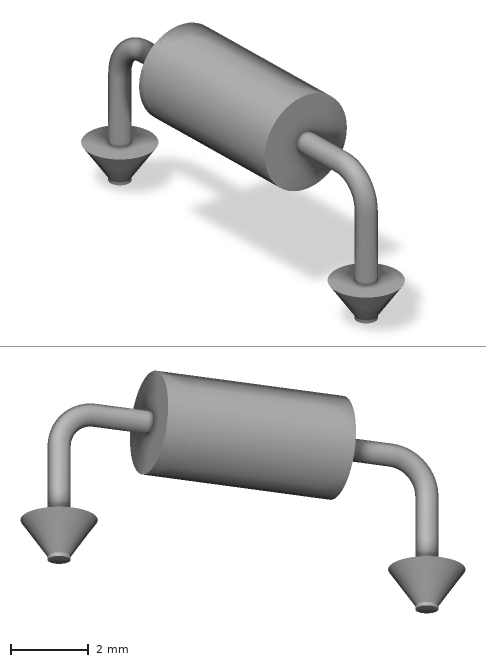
import cadquery as cq

overall_length = 12.16
flare_diameter = 2.0
body_length = 5.19
body_diameter = 2.7
overall_height = 5.45
wire_diameter = 0.6
bend_radius = 1.0
tip_length = 0.1
flare_height = 1.0
band_offset = 0.52
band_width = 0.29
band_depth = 0.12

body_radius = body_diameter / 2
wire_radius = wire_diameter / 2
axis_height = overall_height - body_radius
leg_x = (overall_length - flare_diameter) / 2
body_start = -body_length / 2
band_start = body_start + band_offset


def cylinder_along_x(start, length, radius):
    """Cylinder on the body's axis, running in +X from start."""
    plane = cq.Workplane("YZ", origin=(start, 0, axis_height))
    return plane.circle(radius).extrude(length)


def make_band():
    """Marking ring, flush with the outside of the body."""
    outer = cylinder_along_x(band_start, band_width, body_radius)
    inner = cylinder_along_x(band_start, band_width, body_radius - band_depth)
    return outer.cut(inner)


def make_body(band):
    """Cylindrical body with a groove for the band and a bore for the wire."""
    body = cylinder_along_x(body_start, body_length, body_radius)
    bore = cylinder_along_x(body_start, body_length, wire_radius)
    return body.cut(bore).cut(band)


def make_flare(x):
    """Cone on one leg, narrowing downward to the wire's diameter."""
    flare_top = tip_length + flare_height
    profile = (
        cq.Workplane("XZ", origin=(x, 0, 0))
        .moveTo(0, tip_length)
        .lineTo(wire_radius, tip_length)
        .lineTo(flare_diameter / 2, flare_top)
        .lineTo(0, flare_top)
        .close()
    )
    return profile.revolve(360, (0, 0), (0, 1))


def make_lead():
    """One wire through the body, bent down at both ends, with a flare on each leg."""
    bend_bottom = axis_height - bend_radius
    bend_inner_x = leg_x - bend_radius
    path = (
        cq.Workplane("XZ")
        .moveTo(-leg_x, 0)
        .lineTo(-leg_x, bend_bottom)
        .tangentArcPoint((-bend_inner_x, axis_height), relative=False)
        .lineTo(bend_inner_x, axis_height)
        .tangentArcPoint((leg_x, bend_bottom), relative=False)
        .lineTo(leg_x, 0)
    )
    lead = cq.Workplane("XY", origin=(-leg_x, 0, 0)).circle(wire_radius).sweep(path)
    for x in (-leg_x, leg_x):
        lead = lead.union(make_flare(x))
    return lead


band = make_band()
body = make_body(band)
lead = make_lead()

result = cq.Compound.makeCompound([body.val(), band.val(), lead.val()])